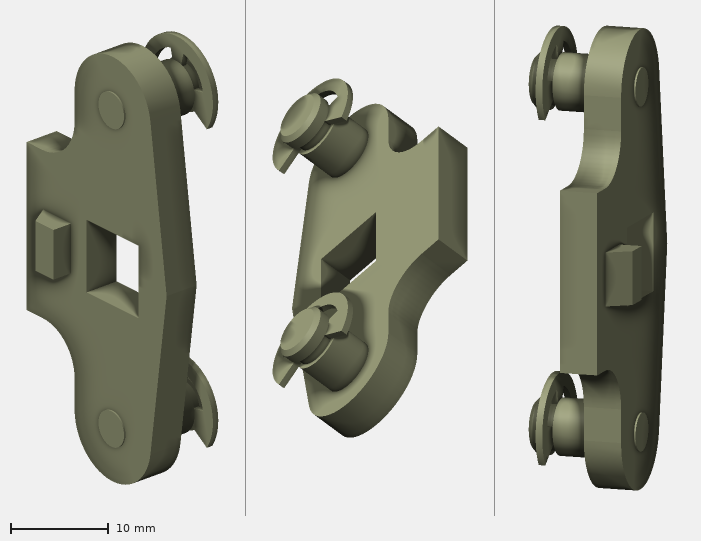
import cadquery as cq
import math

plate_length = 48.0
plate_thickness = 4.05
end_radius = 6.0
pin_height = plate_length / 2 - end_radius
apex_x = 8.5
tab_left_x = -13.55
tab_half_height = 9.5
tab_fillet = 5.0
window_size = 8.2

catch_height = 5.6
catch_depth = 2.4
catch_left_x = tab_left_x + 2.6
catch_right_x = tab_left_x + 7.0
catch_slope_width = 1.6

pin_radius = 3.0
pin_length = 7.15
pin_chamfer = 0.5
groove_radius = 2.5
groove_start = 4.4
groove_width = 1.1
stub_radius = 2.0
stub_length = 0.2

clip_radius = 5.65
clip_thickness = 0.7
clip_slot_radius = 4.17
clip_horn_angle = -34.0
slot_start_angle = 11.0
slot_end_angle = 76.0
clip_y = plate_thickness + groove_start + (groove_width - clip_thickness) / 2


def polar(radius, angle):
    """X, Z point at an angle in degrees from the +X axis."""
    return radius * math.cos(math.radians(angle)), radius * math.sin(math.radians(angle))


def extruded(sketch, start_y, depth):
    """Extrude an XZ outline towards +Y from start_y."""
    return sketch.extrude(-depth).translate((0, start_y, 0))


def cylinder(radius, start_y, depth, z):
    return extruded(cq.Workplane("XZ").center(0, z).circle(radius), start_y, depth)


def mirrored(point):
    return point[0], -point[1]


def make_plate():
    apex_distance = math.hypot(apex_x, pin_height)
    tangent_angle = math.degrees(math.acos(end_radius / apex_distance)
                                 - math.atan2(pin_height, apex_x))
    tangent_x, tangent_rise = polar(end_radius, tangent_angle)
    tangent = (tangent_x, pin_height + tangent_rise)
    end_top = (0, plate_length / 2)
    end_left = (-end_radius, pin_height)
    fillet_top = (-end_radius, tab_half_height + tab_fillet)
    fillet_dx, fillet_dz = polar(tab_fillet, -45)
    fillet_mid = (-end_radius - tab_fillet + fillet_dx, tab_half_height + tab_fillet + fillet_dz)
    fillet_end = (-end_radius - tab_fillet, tab_half_height)
    tab_corner = (tab_left_x, tab_half_height)

    outline = (
        cq.Workplane("XZ")
        .moveTo(apex_x, 0)
        .lineTo(*tangent)
        .threePointArc(end_top, end_left)
        .lineTo(*fillet_top)
        .threePointArc(fillet_mid, fillet_end)
        .lineTo(*tab_corner)
        .lineTo(*mirrored(tab_corner))
        .lineTo(*mirrored(fillet_end))
        .threePointArc(mirrored(fillet_mid), mirrored(fillet_top))
        .lineTo(*mirrored(end_left))
        .threePointArc(mirrored(end_top), mirrored(tangent))
        .close()
    )
    window = extruded(cq.Workplane("XZ").rect(window_size, window_size), 0, plate_thickness)
    return extruded(outline, 0, plate_thickness).cut(window)


def make_catch():
    return (
        cq.Workplane("XY")
        .polyline([
            (catch_left_x, 0),
            (catch_left_x + catch_slope_width, -catch_depth),
            (catch_right_x, -catch_depth),
            (catch_right_x, 0),
        ])
        .close()
        .extrude(catch_height / 2, both=True)
    )


def make_pin(z):
    """Grooved pin behind the plate, with its short stub showing in front."""
    shank = cylinder(pin_radius, plate_thickness, pin_length, z).faces(">Y").chamfer(pin_chamfer)
    groove_y = plate_thickness + groove_start
    groove = cylinder(pin_radius, groove_y, groove_width, z).cut(
        cylinder(groove_radius, groove_y, groove_width, z))
    stub = cylinder(stub_radius, -stub_length, stub_length, z)
    return shank.cut(groove), stub


def make_frame():
    """Plate with its catch and fixed pins, as one body."""
    frame = make_plate().union(make_catch())
    for z in (-pin_height, pin_height):
        shank, stub = make_pin(z)
        frame = frame.union(shank).union(stub)
    return frame


def sector(start_angle, end_angle, radius):
    """Pie-shaped cutter with its point on the clip axis."""
    outline = (
        cq.Workplane("XZ")
        .lineTo(*polar(radius, start_angle))
        .threePointArc(polar(radius, (start_angle + end_angle) / 2), polar(radius, end_angle))
        .close()
    )
    return extruded(outline, 0, clip_thickness)


def make_clip(z):
    """E-clip open towards -Z, gripping the groove with three teeth."""
    clip = cylinder(clip_radius, 0, clip_thickness, 0)
    clip = clip.cut(cylinder(groove_radius, 0, clip_thickness, 0))
    clip = clip.cut(sector(-180 - clip_horn_angle, clip_horn_angle, 2 * clip_radius))
    clip = clip.cut(sector(slot_start_angle, slot_end_angle, clip_slot_radius))
    clip = clip.cut(sector(180 - slot_end_angle, 180 - slot_start_angle, clip_slot_radius))
    return clip.translate((0, clip_y, z))


frame = make_frame()
clips = [make_clip(z) for z in (-pin_height, pin_height)]

result = cq.Compound.makeCompound([frame.val(), *[clip.val() for clip in clips]])